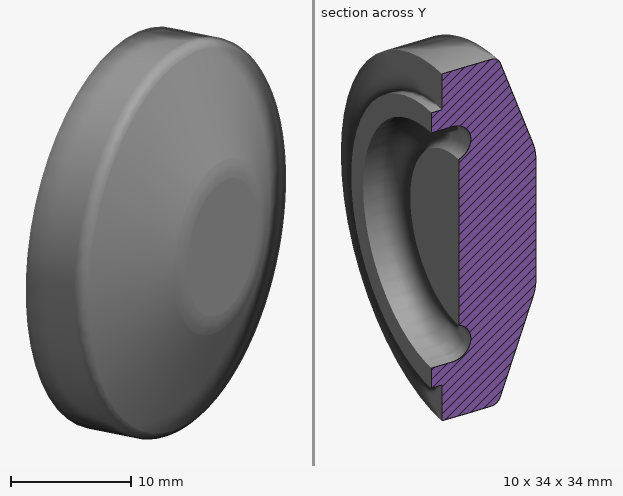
import cadquery as cq
import math

rim_radius = 17.0
total_length = 10.0

lip_radius = 13.5
lip_length = 1.0

cone_start = 6.35
cone_tip_radius = 6.7
rim_fillet = 1.0
tip_fillet = 5.0

recess_radius = 11.5
recess_wall_depth = 2.0
groove_radius = 1.75
center_flat_radius = 8.13


def make_body():
    """Lip, cylindrical rim and rounded conical front."""
    profile = (
        cq.Workplane("XY")
        .polyline([
            (0, 0),
            (0, lip_radius),
            (lip_length, lip_radius),
            (lip_length, rim_radius),
            (cone_start, rim_radius),
            (total_length, cone_tip_radius),
            (total_length, 0),
        ])
        .close()
    )
    body = profile.revolve(360, (0, 0, 0), (1, 0, 0))
    body = body.faces(">X").edges().fillet(tip_fillet)
    rim_corner = cq.selectors.BoxSelector(
        (cone_start - rim_fillet / 2, -rim_radius, -rim_radius),
        (cone_start + rim_fillet / 2, rim_radius, rim_radius),
    )
    rim_edges = body.edges("%CIRCLE").edges(rim_corner)
    return rim_edges.fillet(rim_fillet)


def make_recess():
    """Recess whose wall runs tangentially into the ring groove around the central flat."""
    groove_center_radius = recess_radius - groove_radius
    flat_offset = groove_center_radius - center_flat_radius
    flat_depth = recess_wall_depth + math.sqrt(groove_radius**2 - flat_offset**2)
    groove_bottom = (recess_wall_depth + groove_radius, groove_center_radius)
    profile = (
        cq.Workplane("XY")
        .lineTo(0, recess_radius)
        .lineTo(recess_wall_depth, recess_radius)
        .threePointArc(groove_bottom, (flat_depth, center_flat_radius))
        .lineTo(flat_depth, 0)
        .close()
    )
    return profile.revolve(360, (0, 0, 0), (1, 0, 0))


result = make_body().cut(make_recess())